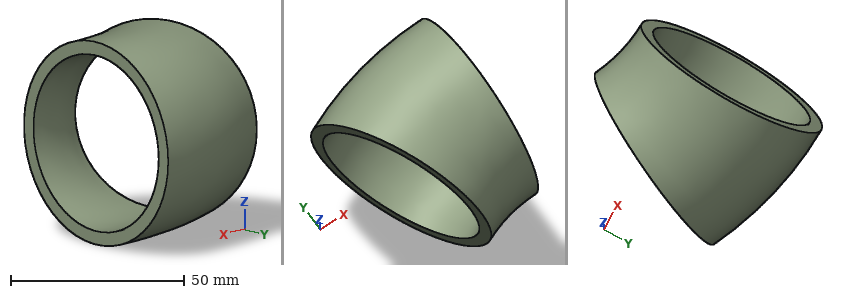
import cadquery as cq

outer_diameter = 60.3
wall_thickness = 4.0
bend_radius = 76.25
bend_angle = 25.0

inner_diameter = outer_diameter - 2 * wall_thickness

axis_start = (-bend_radius, 0)
axis_end = (-bend_radius, 1)

result = (
    cq.Workplane("YZ")
    .circle(outer_diameter / 2)
    .circle(inner_diameter / 2)
    .revolve(bend_angle, axis_start, axis_end)
)